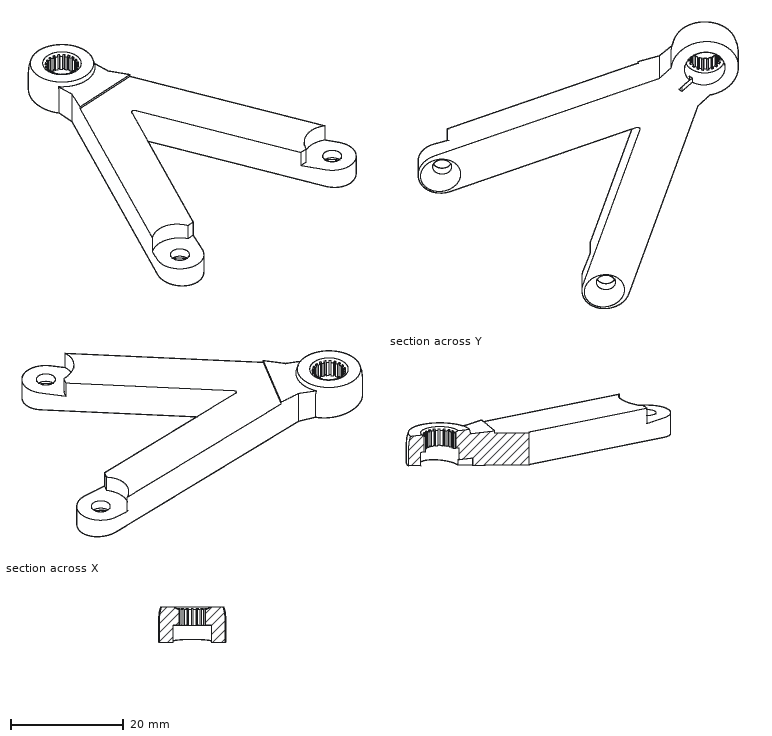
import cadquery as cq
import math

overall_length = 57.2
overall_height = 11.9

hub_radius = 6.0
dome_start_z = 9.85

tooth_tip_radius = 2.65
groove_root_radius = 3.0
groove_count = 20
groove_width = 0.35
bore_mouth_radius = 3.45
bore_mouth_depth = 0.45
counterbore_radius = 3.6
counterbore_ceiling_z = 8.6

slot_width = 0.7
slot_end_x = 6.3
slot_ceiling_z = 6.35

neck_width = 9.5
neck_top_z = 11.05
neck_end_x = 10.4

arm_width = 8.6
arm_end_radius = arm_width / 2
arm_end_x = overall_length - hub_radius - arm_end_radius
arm_end_y = 20.0
arm_root_x = 6.85
crotch_radius = 0.45

heel_z = 6.35
slope = heel_z / overall_length
arm_thickness = 6.1

pad_z = 3.95
pad_radius = 5.0
pad_shoulder_x = 44.75
pin_hole_diameter = 3.4
countersink_diameter = 7.1

heel_x = -hub_radius
tip_x = overall_length - hub_radius


def underside_z(x):
    """Height of the sloping underside at a given X."""
    return heel_z - slope * (x - heel_x)


def arm_top_z(x):
    """Height of the sloping arm top at a given X."""
    return underside_z(x) + arm_thickness


def cylinder(radius, bottom_z, top_z, x=0, y=0):
    """Upright cylinder between two heights."""
    return cq.Workplane("XY", origin=(x, y, bottom_z)).circle(radius).extrude(top_z - bottom_z)


def arm_plan(side):
    """Upright bar with a rounded end; side is +1 for +Y and -1 for -Y."""
    run_x = arm_end_x - arm_root_x
    length = math.hypot(run_x, arm_end_y)
    angle = math.degrees(math.atan2(side * arm_end_y, run_x))
    bar = cq.Workplane("XY").rect(length, arm_width).extrude(overall_height)
    bar = bar.translate((length / 2, 0, 0)).rotate((0, 0, 0), (0, 0, 1), angle)
    bar = bar.translate((arm_root_x, 0, 0))
    return bar.union(cylinder(arm_end_radius, 0, overall_height, arm_end_x, side * arm_end_y))


def side_slab(points):
    """Side profile in XZ, extruded wide enough to cover both arms."""
    half_span = arm_end_y + 2 * arm_end_radius
    return cq.Workplane("XZ").polyline(points).close().extrude(half_span, both=True)


def frame():
    """Neck and arms, trimmed to the stepped and sloping side profile."""
    neck = cq.Workplane("XY").rect(neck_end_x, neck_width).extrude(overall_height)
    neck = neck.translate((neck_end_x / 2, 0, 0))
    plan = arm_plan(1).union(arm_plan(-1))
    half_angle = math.atan2(arm_end_y, arm_end_x - arm_root_x)
    crotch_x = arm_root_x + arm_end_radius / math.sin(half_angle)
    crotch = cq.selectors.NearestToPointSelector((crotch_x, 0, overall_height / 2))
    plan = plan.edges("|Z").edges(crotch).fillet(crotch_radius)
    profile = side_slab([
        (0, underside_z(0)),
        (tip_x, underside_z(tip_x)),
        (tip_x, arm_top_z(tip_x)),
        (neck_end_x, arm_top_z(neck_end_x)),
        (neck_end_x, neck_top_z),
        (0, neck_top_z),
    ])
    return plan.union(neck).intersect(profile)


def hub():
    """Round hub with a spherical upper band, cut off along the sloping underside."""
    dome_height = overall_height - dome_start_z
    top_radius = math.sqrt(hub_radius**2 - dome_height**2)
    mid_height = dome_height / 2
    mid_radius = math.sqrt(hub_radius**2 - mid_height**2)
    blank = (
        cq.Workplane("XZ")
        .lineTo(hub_radius, 0)
        .lineTo(hub_radius, dome_start_z)
        .threePointArc((mid_radius, dome_start_z + mid_height), (top_radius, overall_height))
        .lineTo(0, overall_height)
        .close()
        .revolve(360, (0, 0, 0), (0, 1, 0))
    )
    return blank.intersect(side_slab([
        (heel_x, underside_z(heel_x)),
        (hub_radius, underside_z(hub_radius)),
        (hub_radius, overall_height),
        (heel_x, overall_height),
    ]))


def splined_bore():
    """Cutter for the bore: tooth grooves, top chamfer, and plain counterbore below."""
    cutter = cylinder(tooth_tip_radius, 0, overall_height)
    grooves = (
        cq.Workplane("XY")
        .polarArray(groove_root_radius / 2, 0, 360, groove_count)
        .rect(groove_root_radius, groove_width)
        .extrude(overall_height)
    )
    chamfer = (
        cq.Workplane("XY", origin=(0, 0, overall_height))
        .circle(bore_mouth_radius)
        .workplane(offset=-bore_mouth_depth)
        .circle(tooth_tip_radius)
        .loft()
    )
    counterbore = cylinder(counterbore_radius, 0, counterbore_ceiling_z)
    return cutter.union(grooves).union(chamfer).union(counterbore)


def underside_slot():
    """Cutter for the narrow slot that opens on the underside."""
    slot = cq.Workplane("XY").rect(slot_end_x, slot_width).extrude(slot_ceiling_z)
    return slot.translate((slot_end_x / 2, 0, 0))


def pad_step(side):
    """Cutter for the lowered pad and the pin hole at one arm end."""
    end_y = side * arm_end_y
    clearance = cylinder(pad_radius, pad_z, overall_height, arm_end_x, end_y)
    shoulder_length = tip_x - pad_shoulder_x
    shoulder = (
        cq.Workplane("XY", origin=(pad_shoulder_x + shoulder_length / 2, end_y, pad_z))
        .rect(shoulder_length, 4 * arm_end_radius)
        .extrude(overall_height)
    )
    pin_hole = cylinder(pin_hole_diameter / 2, 0, overall_height, arm_end_x, end_y)
    return clearance.union(shoulder).union(pin_hole)


def pin_countersink(side):
    """Cutter for the 90 degree countersink under one pin hole."""
    apex_z = underside_z(arm_end_x) + countersink_diameter / 2
    cone = cq.Solid.makeCone(apex_z, 0, apex_z)
    return cq.Workplane(cone).translate((arm_end_x, side * arm_end_y, 0))


result = hub().union(frame())
for arm_side in (1, -1):
    result = result.cut(pad_step(arm_side)).cut(pin_countersink(arm_side))
result = result.cut(splined_bore()).cut(underside_slot())